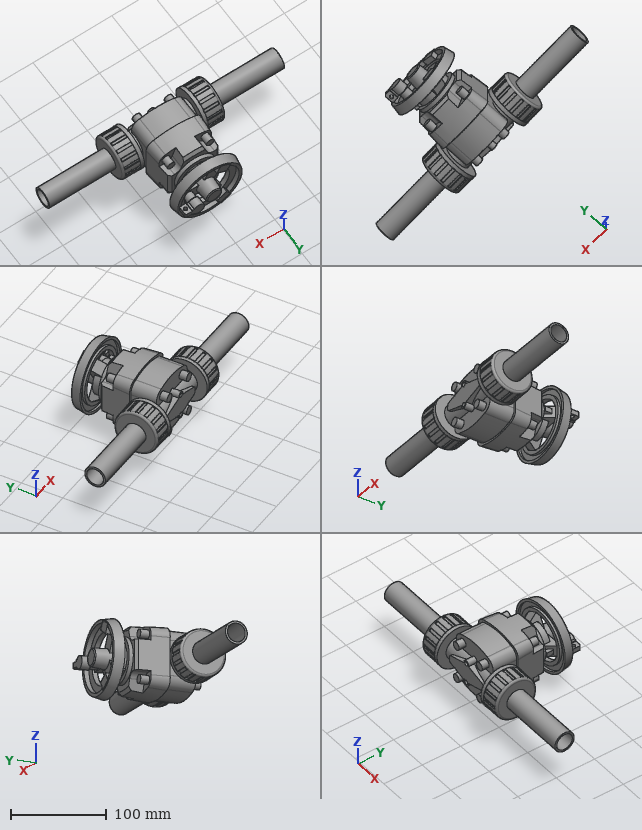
import cadquery as cq
import math


LENGTH = 298.0
PIPE_DIAMETER = 25.0
BORE_DIAMETER = 20.3
BODY_PIPE_DIAMETER = 29.5

NUT_INNER_X = 38.0
NUT_OUTER_X = 65.0
NUT_COLLAR_WIDTH = 4.8
NUT_COLLAR_RADIUS = 26.5
NUT_RADIUS = 26.2
NUT_END_FILLET = 2.7
GROOVE_COUNT = 16
GROOVE_WIDTH = 3.5
GROOVE_DEPTH = 1.5
GROOVE_END_MARGIN = 3.3

PLATE_BOTTOM = -17.0
BOLT_BOTTOM = -15.0
BODY_BOTTOM = -6.0
BODY_TOP = 24.7
NOTCH_FLOOR = 46.0
SCREW_TOP = 56.0
SHOULDER_Y = 59.5
BONNET_TOP = 63.0
FLANGE_TOP = 67.5
HUB_TOP = 78.0
RIM_BOTTOM = 80.0
SPOKE_TOP = 83.5
RIM_TOP = 91.5
PAD_TOP = 92.5
STEM_TOP = 99.8
KNOB_TOP = 103.5

BODY_OUTLINE = (32.2, 19.0, 22.0, 32.0, 35.5)
BONNET_BASE_OUTLINE = (35.0, 21.2, 25.5, 34.0, 37.8)
SHOULDER_OUTLINE = (32.0, 21.2, 24.7, 32.2, 35.5)
BONNET_TOP_OUTLINE = (28.3, 18.8, 21.8, 28.5, 31.5)

CORNER_FULLNESS = 0.7

BOLT_DIAMETER = 10.0
BOLT_X = 20.3
BOLT_Z = 22.4
PLATE_HALF_LENGTH = 29.5
PLATE_HALF_WIDTH = 12.8
PLATE_TIP_HALF_WIDTH = 4.5
PLATE_TIP_FILLET = 3.5
PIN_DIAMETER = 8.3
PIN_HOLE_DIAMETER = 5.0
PIN_HOLE_DEPTH = 4.5

NOTCH_REACH = 44.7
NOTCH_MOUTH_X = 12.0
NOTCH_MOUTH_Z = 35.8
NOTCH_KNEE = (16.5, 23.0)
NOTCH_ARC_END = (25.3, 16.7)
SCREW_OFFSET = 24.7
SCREW_DIAMETER = 9.5
NOTCH_ARC_RADIUS = math.dist(NOTCH_ARC_END, (SCREW_OFFSET, SCREW_OFFSET))

FLANGE_RADIUS = 25.5
HUB_RADIUS = 20.3
RIM_DIAMETER = 86.0
RIM_TOP_RADIUS = 40.8
RIM_INNER_RADIUS = 28.5
RIM_GROOVE_INNER_RADIUS = 33.5
RIM_GROOVE_OUTER_RADIUS = 40.0
RIM_GROOVE_DEPTH = 3.0
RIM_WEB_TOP = 85.8
RIM_RECESS_RADIUS = 37.0
SPOKE_WIDTH = 14.5
SPOKE_ANGLES = (0, 120, 240)
PAD_ANGLES = (120, 240)
PAD_OUTER_RADIUS = 39.5
STEM_BASE_RADIUS = 12.0
STEM_TIP_RADIUS = 9.8
STEM_CHAMFER = 1.2
STOP_OUTER_X = 27.7
STOP_WIDTH = 6.0
STOP_TOP = 76.3

KNOB_X = 22.4
KNOB_DIAMETER = 14.5
KNOB_BOTTOM = 92.7
KNOB_NECK_DIAMETER = 12.0
LUG_INNER_X = 30.7
LUG_OUTER_X = 39.0
LUG_THICKNESS = 6.0
WEB_THICKNESS = 9.0
LUG_CHAMFER = 1.5
LUG_HOLE_DIAMETER = 4.2
LUG_HOLE_X = 35.0
LUG_HOLE_Y = 96.8


def level(y):
    """Workplane across the valve axis at height y; local axes are X and Z."""
    return cq.Workplane("XZ", origin=(0, y, 0))


def cylinder_y(diameter, bottom, top, points=((0, 0),)):
    """Cylinders along Y at the given (x, z) points."""
    return level(top).pushPoints(points).circle(diameter / 2).extrude(top - bottom)


def cylinder_x(diameter, length):
    """Cylinder along X, centred on the origin."""
    return cq.Workplane("YZ").circle(diameter / 2).extrude(length / 2, both=True)


def four_corners(x, z):
    """The point (x, z) and its mirror images in all four quadrants."""
    return [(sx * x, sz * z) for sx in (-1, 1) for sz in (-1, 1)]


def revolve_y(points):
    """Solid of revolution about Y from an (r, y) profile."""
    return cq.Workplane("XY").polyline(points).close().revolve(360, (0, 0), (0, 1))


def housing_outline(plane, side_x, side_z, corner_x, corner_z, crown_z):
    """Flat sides, rounded corners, and crowned faces toward +Z and -Z."""
    mid_x = corner_x + (side_x - corner_x) * CORNER_FULLNESS
    mid_z = side_z + (corner_z - side_z) * CORNER_FULLNESS
    return (
        plane.moveTo(side_x, -side_z)
        .lineTo(side_x, side_z)
        .threePointArc((mid_x, mid_z), (corner_x, corner_z))
        .threePointArc((0, crown_z), (-corner_x, corner_z))
        .threePointArc((-mid_x, mid_z), (-side_x, side_z))
        .lineTo(-side_x, -side_z)
        .threePointArc((-mid_x, -mid_z), (-corner_x, -corner_z))
        .threePointArc((0, -crown_z), (corner_x, -corner_z))
        .threePointArc((mid_x, -mid_z), (side_x, -side_z))
        .close()
    )


def make_nut():
    """Union nut on the +X side: collar, rounded grip and grip grooves."""
    grip_start = NUT_INNER_X + NUT_COLLAR_WIDTH
    nut = (
        cq.Workplane("XY")
        .moveTo(NUT_INNER_X, 0)
        .lineTo(NUT_INNER_X, NUT_COLLAR_RADIUS)
        .lineTo(grip_start, NUT_COLLAR_RADIUS)
        .lineTo(grip_start, NUT_RADIUS)
        .lineTo(NUT_OUTER_X - NUT_END_FILLET, NUT_RADIUS)
        .radiusArc((NUT_OUTER_X, NUT_RADIUS - NUT_END_FILLET), NUT_END_FILLET)
        .lineTo(NUT_OUTER_X, 0)
        .close()
        .revolve(360, (0, 0), (1, 0))
    )
    groove_length = NUT_OUTER_X - GROOVE_END_MARGIN - grip_start
    groove = cq.Workplane("XY").box(
        groove_length, GROOVE_WIDTH, 2 * GROOVE_DEPTH
    ).translate((grip_start + groove_length / 2, 0, NUT_RADIUS))
    for i in range(GROOVE_COUNT):
        nut = nut.cut(groove.rotate((0, 0, 0), (1, 0, 0), i * 360 / GROOVE_COUNT))
    return nut


def make_bottom_plate():
    """Diamond plate under the pipe with two pins, and the blind holes to cut in them."""
    tip = PLATE_TIP_HALF_WIDTH
    plate = (
        level(0)
        .polyline([
            (0, PLATE_HALF_WIDTH), (PLATE_HALF_LENGTH, tip), (PLATE_HALF_LENGTH, -tip),
            (0, -PLATE_HALF_WIDTH), (-PLATE_HALF_LENGTH, -tip), (-PLATE_HALF_LENGTH, tip),
        ])
        .close()
        .extrude(-PLATE_BOTTOM)
    )
    plate = plate.edges("|Y").edges("<X or >X").fillet(PLATE_TIP_FILLET)
    pins = [(0, PLATE_HALF_WIDTH), (0, -PLATE_HALF_WIDTH)]
    plate = plate.union(cylinder_y(PIN_DIAMETER, PLATE_BOTTOM, 0, pins))
    hole_top = PLATE_BOTTOM + PIN_HOLE_DEPTH
    return plate, cylinder_y(PIN_HOLE_DIAMETER, PLATE_BOTTOM, hole_top, pins)


def make_notch():
    """Screw pocket in the +X +Z corner of the bonnet, curved around the screw."""
    diagonal = NOTCH_ARC_RADIUS / math.sqrt(2)
    arc_middle = (SCREW_OFFSET - diagonal, SCREW_OFFSET - diagonal)
    return (
        level(BONNET_TOP)
        .moveTo(NOTCH_MOUTH_X, NOTCH_REACH)
        .lineTo(NOTCH_MOUTH_X, NOTCH_MOUTH_Z)
        .lineTo(*NOTCH_KNEE)
        .threePointArc(arc_middle, NOTCH_ARC_END)
        .lineTo(NOTCH_REACH, NOTCH_ARC_END[1])
        .lineTo(NOTCH_REACH, NOTCH_REACH)
        .close()
        .extrude(BONNET_TOP - NOTCH_FLOOR)
    )


def make_bonnet():
    """Tapered bonnet with a bevelled top, four notches and four screws."""
    lower = housing_outline(level(BODY_TOP), *BONNET_BASE_OUTLINE)
    bonnet = housing_outline(
        lower.workplane(offset=BODY_TOP - SHOULDER_Y), *SHOULDER_OUTLINE
    ).loft(combine=True)
    shoulder = housing_outline(level(SHOULDER_Y), *SHOULDER_OUTLINE)
    bonnet = bonnet.union(
        housing_outline(
            shoulder.workplane(offset=SHOULDER_Y - BONNET_TOP), *BONNET_TOP_OUTLINE
        ).loft(combine=True)
    )
    notch = make_notch()
    for mirrored in (notch, notch.mirror("YZ")):
        bonnet = bonnet.cut(mirrored).cut(mirrored.mirror("XY"))
    screws = four_corners(SCREW_OFFSET, SCREW_OFFSET)
    return bonnet.union(cylinder_y(SCREW_DIAMETER, NOTCH_FLOOR - 3, SCREW_TOP, screws))


def make_spoke():
    """Spoke along +X whose outer end flares from the hub out to the rim."""
    profile = [
        (0, FLANGE_TOP), (HUB_RADIUS, FLANGE_TOP), (RIM_INNER_RADIUS, RIM_BOTTOM),
        (RIM_INNER_RADIUS, SPOKE_TOP), (0, SPOKE_TOP),
    ]
    return cq.Workplane("XY").polyline(profile).close().extrude(SPOKE_WIDTH / 2, both=True)


def make_handwheel():
    """Flange, hub, stem, grooved rim, three spokes and raised rim pads."""
    wheel = cylinder_y(2 * FLANGE_RADIUS, BONNET_TOP, FLANGE_TOP)
    wheel = wheel.union(cylinder_y(2 * HUB_RADIUS, FLANGE_TOP, HUB_TOP))
    wheel = wheel.union(revolve_y([
        (0, HUB_TOP), (STEM_BASE_RADIUS, HUB_TOP), (STEM_TIP_RADIUS, STEM_TOP - STEM_CHAMFER),
        (STEM_TIP_RADIUS - STEM_CHAMFER, STEM_TOP), (0, STEM_TOP),
    ]))
    groove_top = RIM_BOTTOM + RIM_GROOVE_DEPTH
    rim = revolve_y([
        (RIM_INNER_RADIUS, RIM_BOTTOM), (RIM_GROOVE_INNER_RADIUS, RIM_BOTTOM),
        (RIM_GROOVE_INNER_RADIUS, groove_top), (RIM_GROOVE_OUTER_RADIUS, groove_top),
        (RIM_GROOVE_OUTER_RADIUS, RIM_BOTTOM), (RIM_DIAMETER / 2, RIM_BOTTOM),
        (RIM_TOP_RADIUS, RIM_TOP), (RIM_RECESS_RADIUS, RIM_TOP),
        (RIM_RECESS_RADIUS, RIM_WEB_TOP), (RIM_INNER_RADIUS, RIM_WEB_TOP),
    ])
    wheel = wheel.union(rim)
    spoke = make_spoke()
    for angle in SPOKE_ANGLES:
        wheel = wheel.union(spoke.rotate((0, 0, 0), (0, 1, 0), angle))
    pad_length = PAD_OUTER_RADIUS - RIM_INNER_RADIUS
    pad_height = PAD_TOP - RIM_BOTTOM - RIM_GROOVE_DEPTH
    pad = level(PAD_TOP).center(RIM_INNER_RADIUS + pad_length / 2, 0)
    pad = pad.rect(pad_length, SPOKE_WIDTH).extrude(pad_height)
    for angle in PAD_ANGLES:
        wheel = wheel.union(pad.rotate((0, 0, 0), (0, 1, 0), angle))
    stop = level(STOP_TOP).center(STOP_OUTER_X / 2, 0).rect(STOP_OUTER_X, STOP_WIDTH)
    return wheel.union(stop.extrude(STOP_TOP - FLANGE_TOP))


def make_knob():
    """Locking knob on the +X spoke, joined by a web to a drilled lug."""
    knob = cylinder_y(KNOB_DIAMETER, KNOB_BOTTOM, KNOB_TOP, [(KNOB_X, 0)])
    knob = knob.union(cylinder_y(KNOB_NECK_DIAMETER, SPOKE_TOP, KNOB_BOTTOM, [(KNOB_X, 0)]))
    web_length = LUG_INNER_X - KNOB_X
    web = level(KNOB_TOP).center(KNOB_X + web_length / 2, 0).rect(web_length, WEB_THICKNESS)
    knob = knob.union(web.extrude(KNOB_TOP - KNOB_BOTTOM))
    lug_length = LUG_OUTER_X - LUG_INNER_X
    lug = level(KNOB_TOP).center(LUG_INNER_X + lug_length / 2, 0)
    lug = lug.rect(lug_length, LUG_THICKNESS).extrude(KNOB_TOP - RIM_TOP)
    lug = lug.edges("|Z and >X and >Y").chamfer(LUG_CHAMFER)
    hole = cq.Workplane("XY").center(LUG_HOLE_X, LUG_HOLE_Y).circle(LUG_HOLE_DIAMETER / 2)
    return knob.union(lug.cut(hole.extrude(LUG_THICKNESS, both=True)))


body = housing_outline(level(BODY_TOP), *BODY_OUTLINE).extrude(BODY_TOP - BODY_BOTTOM)
body = body.union(cylinder_y(BOLT_DIAMETER, BOLT_BOTTOM, 0, four_corners(BOLT_X, BOLT_Z)))
body = body.union(cylinder_x(BODY_PIPE_DIAMETER, 2 * NUT_INNER_X))
plate, pin_holes = make_bottom_plate()
body = body.union(plate).cut(pin_holes)

body = body.union(cylinder_x(PIPE_DIAMETER, LENGTH))
nut = make_nut()
body = body.union(nut).union(nut.mirror("YZ"))
bores = cylinder_x(BORE_DIAMETER, LENGTH).cut(cylinder_x(BORE_DIAMETER, 2 * NUT_INNER_X))
body = body.cut(bores)

result = body.union(make_bonnet()).union(make_handwheel()).union(make_knob())